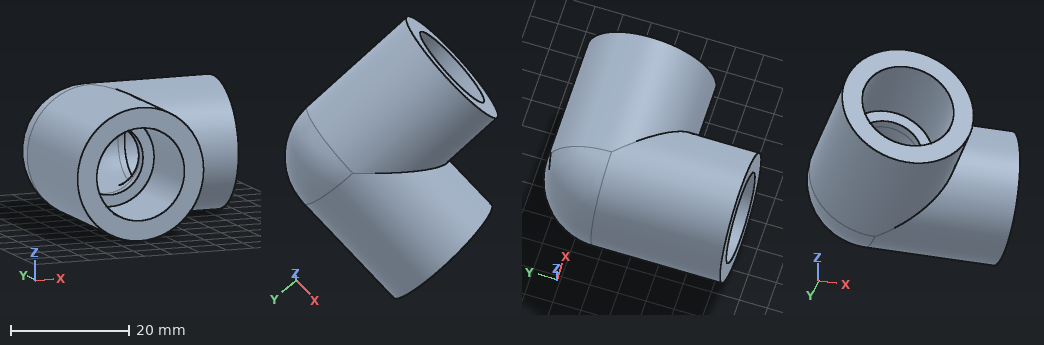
import cadquery as cq

body_diameter = 23.0
body_radius = body_diameter / 2
overall_x = 34.0
overall_y = 34.5
leg_x = overall_x - body_radius
leg_y = overall_y - body_radius

bore_diameter = 11.97
bend_radius = 7.5

socket_x_diameter = 14.95
socket_y_diameter = 16.0
socket_depth = 13.8

mouth_x = cq.Plane(origin=(leg_x, 0, 0), xDir=(0, 1, 0), normal=(-1, 0, 0))
mouth_y = cq.Plane(origin=(0, -leg_y, 0), xDir=(1, 0, 0), normal=(0, 1, 0))


def cylinder_from(mouth, diameter, length):
    """Round bar running from an open end into the body."""
    return cq.Workplane(mouth).circle(diameter / 2).extrude(length)


def bend():
    """Quarter-torus joining the straight stretches of the bore."""
    turn_angle = 90
    start = cq.Plane(origin=(0, -bend_radius, 0), xDir=(1, 0, 0), normal=(0, 1, 0))
    return (
        cq.Workplane(start)
        .circle(bore_diameter / 2)
        .revolve(turn_angle, (bend_radius, 0), (bend_radius, 1))
    )


body = (
    cq.Workplane("XY")
    .sphere(body_radius)
    .union(cylinder_from(mouth_x, body_diameter, leg_x))
    .union(cylinder_from(mouth_y, body_diameter, leg_y))
)

body = body.cut(bend())
body = body.cut(cylinder_from(mouth_x, bore_diameter, leg_x - bend_radius))
body = body.cut(cylinder_from(mouth_y, bore_diameter, leg_y - bend_radius))

body = body.cut(cylinder_from(mouth_x, socket_x_diameter, socket_depth))
body = body.cut(cylinder_from(mouth_y, socket_y_diameter, socket_depth))

result = body